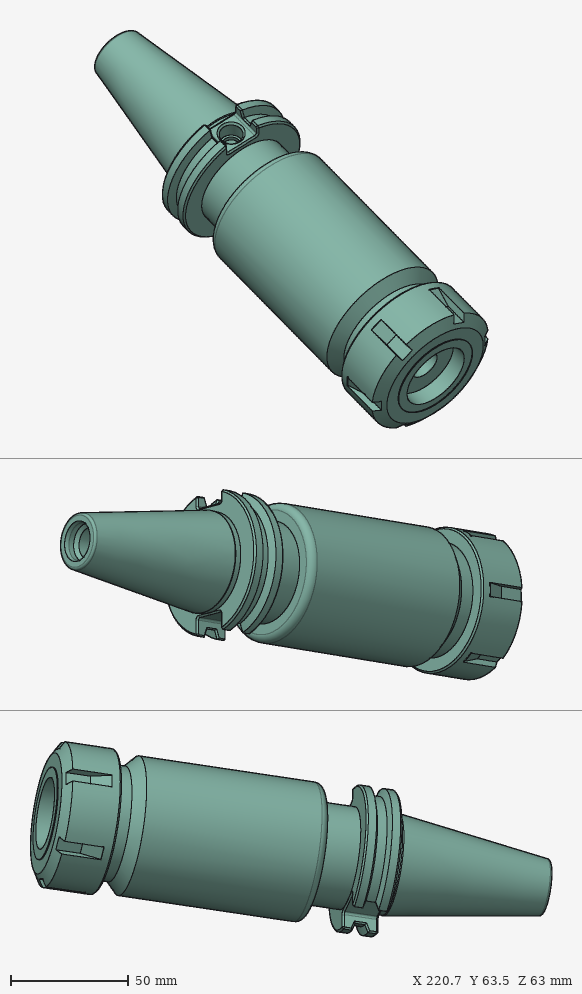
import cadquery as cq
import math

tolerance = 0.01

total_length = 220.65
gauge_line_x = 68.25
flange_start_x = 71.43
flange_end_x = 87.3
body_start_x = 103.2
body_end_x = 183.9
neck_start_x = 189.0
nut_start_x = 195.1

gauge_diameter = 44.45
taper_rate = 7 / 24
taper_small_diameter = gauge_diameter - taper_rate * gauge_line_x
tip_fillet = 1.2
relief_diameter = 43.94
relief_step_length = 0.5

flange_diameter = 63.5
flange_rim_chamfer = 0.8
flange_width = flange_end_x - flange_start_x
flange_center_x = (flange_start_x + flange_end_x) / 2
groove_floor_diameter = 56.2
groove_floor_width = 4.2
groove_rim_width = 7.0

slot_width = 16.1
slot_edge_chamfer = 0.8
slot_corner_fillet = 1.0
upper_slot_floor_z = 25.0
lower_slot_floor_z = -22.6

slot_hole_mouth_diameter = 12.0
slot_hole_diameter = 10.13
slot_hole_depth = 8.0
slot_hole_drill_diameter = 8.0
slot_hole_drill_depth = 10.0
slot_hole_tip_angle = 118

rear_neck_diameter = 44.45
body_diameter = 60.33
body_fillet = 3.3
front_neck_diameter = 50.0

bore_diameter = 13.39
counterbore_diameter = 16.46
bore_mouth_diameter = 17.5
mouth_depth = 1.9
counterbore_depth = 4.5
bore_cone_depth = 6.2

nut_diameter = 63.0
nut_rear_chamfer = 0.8
nut_bevel_start_x = 216.8
nut_face_x = 220.2
nut_face_diameter = 52.25
nut_nose_diameter = 40.0
nut_opening_diameter = 30.99
nut_socket_depth = 18.0
nut_socket_end_x = nut_start_x + nut_socket_depth

spanner_slot_count = 6
spanner_slot_width = 6.1
spanner_slot_start_x = 199.5
spanner_ramp_end_x = 208.2
spanner_slot_start_radius = 31.0
spanner_slot_floor_radius = 28.0


def revolve_about_x(points):
    """Turn an outline of (x, radius) points into a solid of revolution about the X axis."""
    return cq.Workplane("XY").polyline(points).close().revolve(360, (0, 0, 0), (1, 0, 0))


def cut_drive_slot(flange, floor_z):
    """Cut one drive slot with rounded floor corners and chamfers all around its edges."""
    outer_z = math.copysign(flange_diameter, floor_z)
    cutter = (
        cq.Workplane("XY", origin=(flange_center_x, 0, (floor_z + outer_z) / 2))
        .box(2 * flange_width, slot_width, abs(outer_z - floor_z))
        .edges("|X and <Z" if floor_z > 0 else "|X and >Z")
        .fillet(slot_corner_fillet)
    )
    flange = flange.cut(cutter)

    half_width_limit = slot_width / 2 + tolerance
    corner_top = abs(floor_z) + slot_corner_fillet + tolerance
    rim_edges = []
    for edge in flange.edges().vals():
        center = edge.Center()
        in_slot = abs(center.y) < half_width_limit and center.z * floor_z > 0
        runs_along_x = abs(edge.tangentAt(0).x) > 1 - tolerance
        inside_slot_corner = runs_along_x and abs(center.z) < corner_top
        if in_slot and not inside_slot_corner:
            rim_edges.append(edge)
    return flange.newObject(rim_edges).chamfer(slot_edge_chamfer)


def make_flange():
    """Grooved drive flange with its two chamfered drive slots."""
    rim = flange_diameter / 2
    groove_floor = groove_floor_diameter / 2
    flange = revolve_about_x([
        (flange_start_x, 0),
        (flange_start_x, rim - flange_rim_chamfer),
        (flange_start_x + flange_rim_chamfer, rim),
        (flange_center_x - groove_rim_width / 2, rim),
        (flange_center_x - groove_floor_width / 2, groove_floor),
        (flange_center_x + groove_floor_width / 2, groove_floor),
        (flange_center_x + groove_rim_width / 2, rim),
        (flange_end_x - flange_rim_chamfer, rim),
        (flange_end_x, rim - flange_rim_chamfer),
        (flange_end_x, 0),
    ])
    for floor_z in (upper_slot_floor_z, lower_slot_floor_z):
        flange = cut_drive_slot(flange, floor_z)
    return flange


def make_slot_hole():
    """Cutter for the countersunk, stepped blind hole in the upper drive slot floor."""
    mouth_radius = slot_hole_mouth_diameter / 2
    hole_radius = slot_hole_diameter / 2
    drill_radius = slot_hole_drill_diameter / 2
    countersink_depth = mouth_radius - hole_radius
    tip_depth = drill_radius / math.tan(math.radians(slot_hole_tip_angle / 2))
    outline = [
        (0, 0),
        (mouth_radius, 0),
        (hole_radius, -countersink_depth),
        (hole_radius, -slot_hole_depth),
        (drill_radius, -slot_hole_depth),
        (drill_radius, -slot_hole_drill_depth),
        (0, -slot_hole_drill_depth - tip_depth),
    ]
    hole = cq.Workplane("XZ").polyline(outline).close().revolve(360, (0, 0, 0), (0, 1, 0))
    return hole.translate((flange_center_x, 0, upper_slot_floor_z))


def make_bore():
    """Cutter for the drawbar bore: countersunk counterbore, cone and through bore."""
    return revolve_about_x([
        (0, 0),
        (0, bore_mouth_diameter / 2),
        (mouth_depth, counterbore_diameter / 2),
        (counterbore_depth, counterbore_diameter / 2),
        (bore_cone_depth, bore_diameter / 2),
        (total_length, bore_diameter / 2),
        (total_length, 0),
    ])


def make_holder():
    """Taper shank, flange, body and necks as one bored solid."""
    taper = revolve_about_x([
        (0, 0),
        (0, taper_small_diameter / 2),
        (gauge_line_x, gauge_diameter / 2),
        (gauge_line_x + relief_step_length, relief_diameter / 2),
        (flange_start_x, relief_diameter / 2),
        (flange_start_x, 0),
    ])
    taper = taper.faces("<X").edges().fillet(tip_fillet)

    body_radius = body_diameter / 2
    front_neck_radius = front_neck_diameter / 2
    fillet_reach = body_fillet * math.sqrt(0.5)
    fillet_middle = (
        body_start_x + body_fillet - fillet_reach,
        body_radius - body_fillet + fillet_reach,
    )
    body = (
        cq.Workplane("XY")
        .moveTo(flange_end_x, 0)
        .lineTo(flange_end_x, rear_neck_diameter / 2)
        .lineTo(body_start_x, rear_neck_diameter / 2)
        .lineTo(body_start_x, body_radius - body_fillet)
        .threePointArc(fillet_middle, (body_start_x + body_fillet, body_radius))
        .lineTo(body_end_x, body_radius)
        .lineTo(neck_start_x, front_neck_radius)
        .lineTo(nut_socket_end_x, front_neck_radius)
        .lineTo(nut_socket_end_x, 0)
        .close()
        .revolve(360, (0, 0, 0), (1, 0, 0))
    )
    holder = taper.union(make_flange()).union(body)
    return holder.cut(make_slot_hole()).cut(make_bore())


def make_spanner_slot():
    """Cutter for the spanner slot on the +Y side: a ramp that runs into a flat floor."""
    outside = nut_diameter
    profile = [
        (spanner_slot_start_x, spanner_slot_start_radius),
        (spanner_ramp_end_x, spanner_slot_floor_radius),
        (total_length, spanner_slot_floor_radius),
        (total_length, outside),
        (spanner_slot_start_x, outside),
    ]
    return cq.Workplane("XY").polyline(profile).close().extrude(spanner_slot_width / 2, both=True)


def make_nut():
    """Clamping nut that sits over the front neck, with spanner slots around its rim."""
    nut_radius = nut_diameter / 2
    nut = revolve_about_x([
        (nut_start_x, front_neck_diameter / 2),
        (nut_start_x, nut_radius - nut_rear_chamfer),
        (nut_start_x + nut_rear_chamfer, nut_radius),
        (nut_bevel_start_x, nut_radius),
        (nut_face_x, nut_face_diameter / 2),
        (nut_face_x, nut_nose_diameter / 2),
        (total_length, nut_nose_diameter / 2),
        (total_length, nut_opening_diameter / 2),
        (nut_socket_end_x, nut_opening_diameter / 2),
        (nut_socket_end_x, front_neck_diameter / 2),
    ])
    spanner_slot = make_spanner_slot()
    for index in range(spanner_slot_count):
        angle = index * 360 / spanner_slot_count
        nut = nut.cut(spanner_slot.rotate((0, 0, 0), (1, 0, 0), angle))
    return nut


holder = make_holder()
nut = make_nut()

result = cq.Compound.makeCompound([holder.val(), nut.val()])